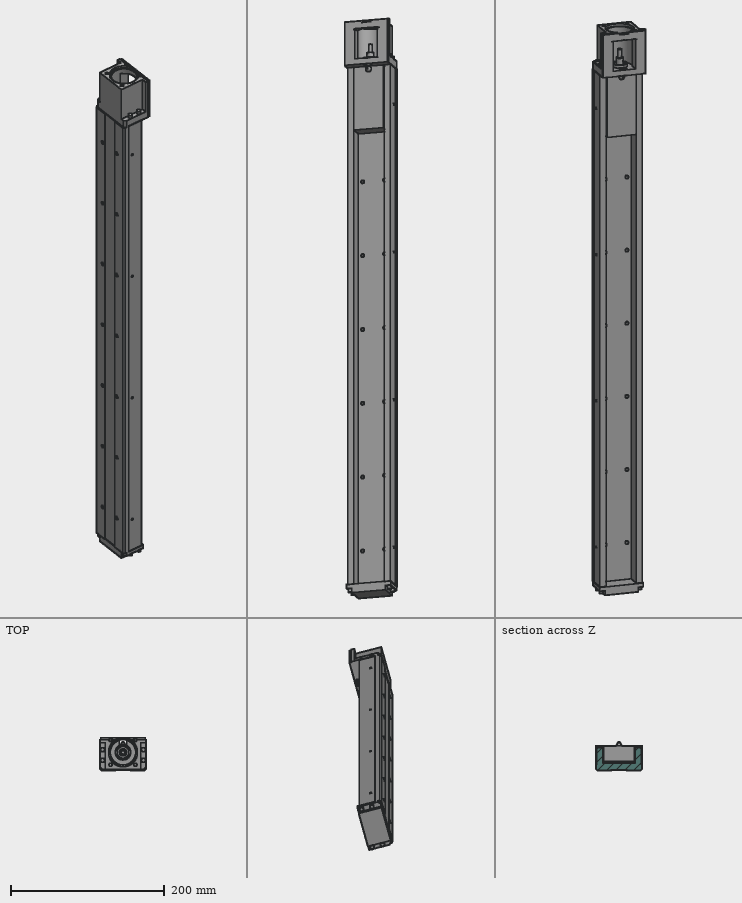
import cadquery as cq

length = 771.0
width = 60.0
depth = 43.0
z_top = length / 2
z_bottom = -length / 2
y_front = -depth / 2
y_back = depth / 2

rail_length = 700.0
rail_height = 30.0
rail_z_top = 326.0
rail_z_bottom = rail_z_top - rail_length
rail_y_back = y_front + rail_height
rail_edge_chamfer = 2.15
rail_side_step = 1.0
rail_foot_height = 8.5
floor_height = 10.0
channel_width = 42.0
front_groove_width = 21.0
front_groove_depth = 1.0

mount_hole_diameter = 4.5
mount_hole_spacing = 30.0
mount_hole_span = 600.0
mount_hole_rows = 7
mount_hole_pitch = mount_hole_span / (mount_hole_rows - 1)
first_hole_offset = 50.0
side_hole_diameter = 2.5
side_hole_pitch = 2 * mount_hole_pitch
side_hole_rows = 4
side_hole_depth = 5.0
side_hole_y = -7.0

end_y_front = -20.0
end_edge_chamfer = 3.0
bracket_base_height = 11.0
bracket_box_width = 46.0
flange_thickness = 7.0
flange_rim_thickness = 2.7
flange_rim_step = 1.0
axis_y = 2.0
bore_diameter = 33.0
pilot_diameter = 38.0
pilot_depth = 3.0
bore_floor_height = 8.0
window_width = 31.0
window_top_drop = 11.0
motor_hole_diameter = 4.2
motor_hole_depth = 11.5
motor_hole_offset = 16.0

notch_width = 9.0
notch_y_front = 11.0

bearing_diameter = 20.0
bearing_height = 4.0
bearing_recess_diameter = 15.5
shaft_collar_diameter = 9.0
shaft_collar_height = 11.5
shaft_diameter = 5.0
shaft_height = 23.0

cap_plate_height = 5.5
cap_y_back = 11.0
cap_boss_width = 46.0

screw_head_diameter = 5.5
screw_head_height = 4.0
screw_spacing_x = 53.0
screw_y_positions = (5.8, -8.1)

slider_length = 85.0
slider_z_top = 325.0
slider_height = 32.0
slider_y_back = y_front + slider_height
slider_floor_gap = 2.0
slider_side_gap = 1.0
nipple_base_diameter = 8.0
nipple_tip_diameter = 1.5
nipple_height = 5.5


def block(x_size, y_min, y_max, z_min, z_max):
    """Box that is symmetric in X and spans the given Y and Z ranges."""
    box = cq.Workplane("XY").box(x_size, y_max - y_min, z_max - z_min, centered=(True, False, False))
    return box.translate((0, y_min, z_min))


def post(diameter, x, y, z_min, z_max):
    """Cylinder parallel to Z."""
    return cq.Workplane("XY").circle(diameter / 2).extrude(z_max - z_min).translate((x, y, z_min))


def make_rail():
    foot = block(width, y_front, y_front + rail_foot_height, rail_z_bottom, rail_z_top)
    foot = foot.edges("|Z and <Y").chamfer(rail_edge_chamfer)
    walls = block(
        width - 2 * rail_side_step, y_front + rail_foot_height, rail_y_back, rail_z_bottom, rail_z_top
    )
    channel = block(channel_width, y_front + floor_height, rail_y_back, rail_z_bottom, rail_z_top)
    groove = block(
        front_groove_width, y_front, y_front + front_groove_depth, rail_z_bottom, rail_z_top
    )
    return foot.union(walls).cut(channel).cut(groove)


def drill_rail(rail):
    first_z = rail_z_top - first_hole_offset
    mount_points = [
        (side * mount_hole_spacing / 2, first_z - row * mount_hole_pitch)
        for row in range(mount_hole_rows)
        for side in (-1, 1)
    ]
    mount_holes = (
        cq.Workplane("XZ", origin=(0, y_front, 0))
        .pushPoints(mount_points)
        .circle(mount_hole_diameter / 2)
        .extrude(-floor_height)
    )
    rail = rail.cut(mount_holes)
    side_points = [(side_hole_y, first_z - row * side_hole_pitch) for row in range(side_hole_rows)]
    for side in (-1, 1):
        side_holes = (
            cq.Workplane("YZ", origin=(side * width / 2, 0, 0))
            .pushPoints(side_points)
            .circle(side_hole_diameter / 2)
            .extrude(-side * side_hole_depth)
        )
        rail = rail.cut(side_holes)
    return rail


def make_bracket():
    ledge_z = rail_z_top + bracket_base_height
    rim_y = y_back - flange_rim_thickness
    base = block(width, end_y_front, rim_y, rail_z_top, ledge_z)
    base = base.edges("|Z and <Y").chamfer(end_edge_chamfer)
    box = block(bracket_box_width, end_y_front, rim_y, ledge_z, z_top)
    flange = block(width, y_back - flange_thickness, rim_y, ledge_z, z_top)
    rim = block(width - 2 * flange_rim_step, rim_y, y_back, rail_z_top, z_top - flange_rim_step)
    bracket = base.union(box).union(flange).union(rim)

    bore_floor_z = rail_z_top + bore_floor_height
    bore = post(bore_diameter, 0, axis_y, bore_floor_z, z_top)
    window = block(window_width, axis_y, y_back, bore_floor_z, z_top - window_top_drop)
    pilot = post(pilot_diameter, 0, axis_y, z_top - pilot_depth, z_top)
    notch = block(notch_width, notch_y_front, rim_y, rail_z_top, ledge_z)
    bracket = bracket.cut(bore).cut(pilot).cut(window).cut(notch)
    for side_x in (-1, 1):
        for side_y in (-1, 1):
            hole_x = side_x * motor_hole_offset
            hole_y = axis_y + side_y * motor_hole_offset
            bracket = bracket.cut(
                post(motor_hole_diameter, hole_x, hole_y, z_top - motor_hole_depth, z_top)
            )

    bearing = post(bearing_diameter, 0, axis_y, bore_floor_z, bore_floor_z + bearing_height)
    recess = post(bearing_recess_diameter, 0, axis_y, bore_floor_z, bore_floor_z + bearing_height)
    collar = post(shaft_collar_diameter, 0, axis_y, bore_floor_z, bore_floor_z + shaft_collar_height)
    shaft = post(shaft_diameter, 0, axis_y, bore_floor_z, bore_floor_z + shaft_height)
    return bracket.union(bearing.cut(recess)).union(collar).union(shaft)


def make_end_cap():
    plate_z = rail_z_bottom - cap_plate_height
    plate = block(width, end_y_front, cap_y_back, plate_z, rail_z_bottom)
    plate = plate.edges("|Z and <Y").chamfer(end_edge_chamfer)
    return plate.union(block(cap_boss_width, end_y_front, cap_y_back, z_bottom, plate_z))


def make_screw_heads(z_min):
    heads = cq.Workplane("XY")
    for side in (-1, 1):
        for y in screw_y_positions:
            head = post(
                screw_head_diameter, side * screw_spacing_x / 2, y, z_min, z_min + screw_head_height
            )
            heads = heads.add(head)
    return heads.combine()


def make_housing():
    housing = drill_rail(make_rail()).union(make_bracket()).union(make_end_cap())
    housing = housing.union(make_screw_heads(rail_z_top + bracket_base_height))
    return housing.union(make_screw_heads(rail_z_bottom - cap_plate_height - screw_head_height))


def make_slider():
    slider_z_bottom = slider_z_top - slider_length
    carriage = block(
        channel_width - 2 * slider_side_gap,
        y_front + floor_height + slider_floor_gap,
        slider_y_back,
        slider_z_bottom,
        slider_z_top,
    )
    nipple_radius = nipple_base_diameter / 2
    nipple = cq.Solid.makeCone(
        nipple_radius,
        nipple_tip_diameter / 2,
        nipple_height,
        cq.Vector(0, slider_y_back, slider_z_top - nipple_radius),
        cq.Vector(0, 1, 0),
    )
    return carriage.union(cq.Workplane(obj=nipple))


housing = make_housing()
slider = make_slider()

result = cq.Compound.makeCompound([housing.val(), slider.val()])